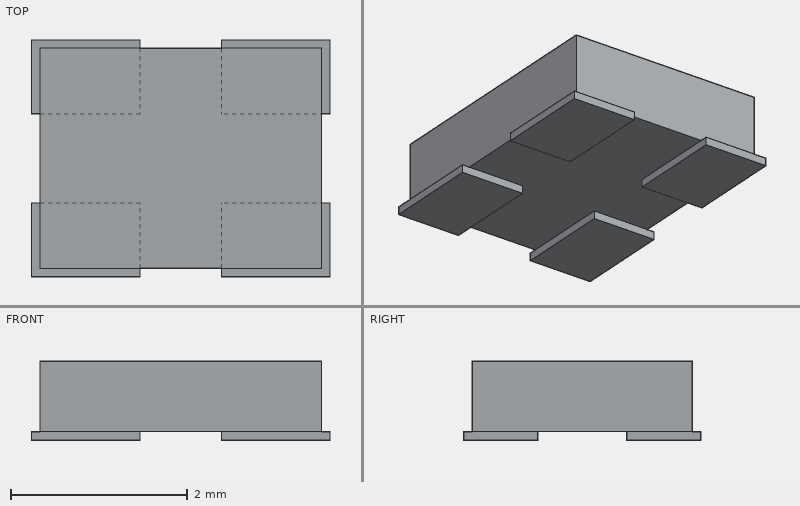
import cadquery as cq

overall_length = 3.39
overall_width = 2.69
overall_height = 0.9

pad_length = 1.235
pad_width = 0.84
pad_thickness = 0.1
pad_overhang = 0.095

housing_length = overall_length - 2 * pad_overhang
housing_width = overall_width - 2 * pad_overhang
housing_height = overall_height - pad_thickness


def make_housing():
    """Plain block whose underside sits on top of the pads."""
    return (
        cq.Workplane("XY")
        .workplane(offset=pad_thickness)
        .rect(housing_length, housing_width)
        .extrude(housing_height)
    )


def make_pad(x_side, y_side):
    """Flat pad at the corner given by the signs x_side and y_side."""
    center_x = x_side * (overall_length - pad_length) / 2
    center_y = y_side * (overall_width - pad_width) / 2
    return (
        cq.Workplane("XY")
        .center(center_x, center_y)
        .rect(pad_length, pad_width)
        .extrude(pad_thickness)
    )


housing = make_housing()
pads = [make_pad(x_side, y_side) for x_side in (-1, 1) for y_side in (-1, 1)]

result = cq.Compound.makeCompound([housing.val(), *[pad.val() for pad in pads]])